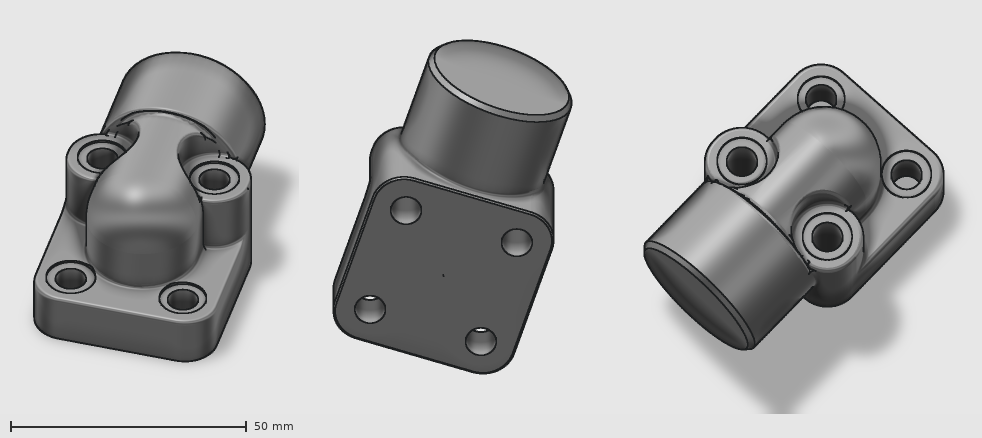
import cadquery as cq
import math

flange_side = 40.0
flange_half = flange_side / 2
flange_height = 11.5
corner_radius = 7.0
bottom_chamfer = 0.4
edge_round = 1.0

bolt_offset = 24.7 / 2
bolt_diameter = 6.5
seat_diameter = 10.5
small_seat_diameter = 10.0
seat_depth = 0.5
seat_clearance = 2.0

tower_height = 24.5
tower_radius = 7.69
tower_round = 0.9
pocket_rim_round = 0.9

elbow_radius = 12.0
elbow_axis_height = 21.0
tube_end = 23.0
tube_bottom = 9.0

collar_radius = 16.0
collar_axis_height = 18.0
collar_end = 40.0
collar_chamfer_length = 1.15
collar_chamfer_depth = 1.0
joint_radius = 1.0

part_height = collar_axis_height + collar_radius

sides = (-1, 1)

pick_margin = 0.1
diagonal = math.sqrt(0.5)


def rounded_square(bottom, top):
    block = cq.Workplane("XY", origin=(0, 0, bottom)).rect(flange_side, flange_side).extrude(top - bottom)
    return block.edges("|Z").fillet(corner_radius)


def make_flange():
    return rounded_square(0, flange_height).faces("<Z").edges().chamfer(bottom_chamfer)


def tower_column(side, bottom, top):
    """Upright column over one rear corner: round inside, trimmed to the flange corner outside."""
    corner_start = flange_half - corner_radius
    corner_mid = corner_start + corner_radius * diagonal
    inner_mid = bolt_offset - tower_radius * diagonal
    edge_gap = flange_half - bolt_offset
    arc_end = bolt_offset - math.sqrt(tower_radius**2 - edge_gap**2)
    return (
        cq.Workplane("XY", origin=(0, 0, bottom))
        .moveTo(side * flange_half, arc_end)
        .lineTo(side * flange_half, corner_start)
        .threePointArc((side * corner_mid, corner_mid), (side * corner_start, flange_half))
        .lineTo(side * arc_end, flange_half)
        .threePointArc((side * inner_mid, inner_mid), (side * flange_half, arc_end))
        .close()
        .extrude(top - bottom)
    )


def make_tower(side):
    """Column standing just above the bottom chamfer, with a rounded top edge."""
    return tower_column(side, bottom_chamfer, tower_height).faces(">Z").edges().fillet(tower_round)


def make_elbow():
    """Arched tube along Y whose front end turns down as a ball over an upright half-cylinder."""
    upright_height = elbow_axis_height - bottom_chamfer
    upright = cq.Workplane("XY", origin=(0, 0, bottom_chamfer)).circle(elbow_radius).extrude(upright_height)
    ball = cq.Workplane("XY").sphere(elbow_radius).translate((0, 0, elbow_axis_height))
    tube = (
        cq.Workplane("XZ")
        .moveTo(-elbow_radius, tube_bottom)
        .lineTo(-elbow_radius, elbow_axis_height)
        .threePointArc((0, elbow_axis_height + elbow_radius), (elbow_radius, elbow_axis_height))
        .lineTo(elbow_radius, tube_bottom)
        .close()
        .extrude(-tube_end)
    )
    return tube.union(upright).union(ball)


def cut_tower_pockets(elbow):
    """Clear the space above the towers and round the rims of the two pockets."""
    for side in sides:
        pocket = cq.Workplane("XY", origin=(side * bolt_offset, bolt_offset, tower_height))
        elbow = elbow.cut(pocket.circle(tower_radius).extrude(part_height - tower_height))
    rims = elbow.edges(cq.selectors.BoxSelector(
        (-elbow_radius, bolt_offset - pick_margin, tower_height),
        (elbow_radius, bolt_offset + pick_margin, part_height),
    )).edges("%BSPLINE")
    return rims.fillet(pocket_rim_round)


def make_pocket_floor_fillet(side):
    """Concave fillet between a tower top and the pocket wall, kept inside the elbow."""
    fillet_top = tower_height + tower_round
    floor = tower_column(side, tower_height - tower_round, fillet_top)
    hollow = tower_column(side, tower_height, part_height).faces("<Z").edges().fillet(tower_round)
    return floor.cut(hollow).intersect(make_elbow())


def make_base():
    """Flange, towers and elbow with their common top edges blended."""
    base = make_flange().union(cut_tower_pockets(make_elbow()))
    for side in sides:
        base = base.union(make_tower(side))
    level = cq.selectors.BoxSelector(
        (-flange_side, -flange_side, flange_height - pick_margin),
        (flange_side, bolt_offset, flange_height + pick_margin),
    )
    return base.edges(level).fillet(edge_round)


def make_outlet_collar():
    """Collar with a rounded front rim and a chamfered outlet rim, turned about its own axis."""
    front = flange_half
    return (
        cq.Workplane("XY")
        .moveTo(0, front)
        .lineTo(collar_radius - joint_radius, front)
        .radiusArc((collar_radius, front + joint_radius), -joint_radius)
        .lineTo(collar_radius, collar_end - collar_chamfer_length)
        .lineTo(collar_radius - collar_chamfer_depth, collar_end)
        .lineTo(0, collar_end)
        .close()
        .revolve(360, (0, 0, 0), (0, 1, 0))
        .translate((0, 0, collar_axis_height))
    )


def make_tube_flare():
    """Concave ring where the tube meets the collar, trimmed to fade into the rounded collar rim."""
    front = flange_half
    ring = (
        cq.Workplane("XY")
        .moveTo(0, front - joint_radius)
        .lineTo(elbow_radius, front - joint_radius)
        .radiusArc((elbow_radius + joint_radius, front), joint_radius)
        .lineTo(elbow_radius + joint_radius, front + joint_radius)
        .lineTo(0, front + joint_radius)
        .close()
        .revolve(360, (0, 0, 0), (0, 1, 0))
        .translate((0, 0, elbow_axis_height))
    )
    trim_radius = collar_radius - joint_radius / 2
    trim = cq.Workplane("XZ", origin=(0, 0, collar_axis_height)).circle(trim_radius).extrude(-collar_end)
    flare = ring.intersect(trim)
    for side in sides:
        flare = flare.cut(tower_column(side, tower_height, part_height))
    return flare


def make_rear_blend():
    """Rear of the flange and towers with a concave fillet against the collar."""
    collar = cq.Workplane("XZ", origin=(0, bolt_offset, collar_axis_height)).circle(collar_radius)
    joined = rounded_square(-flange_side, flange_side).union(collar.extrude(bolt_offset - collar_end))
    near_rear_face = cq.selectors.BoxSelector(
        (-collar_radius - pick_margin, bolt_offset, 0),
        (collar_radius + pick_margin, flange_half + pick_margin, part_height + pick_margin),
    )
    blended = joined.edges(near_rear_face).edges("not |Y").edges("not |Z").fillet(joint_radius)
    zone_start = flange_half - corner_radius
    zone_height = tower_height - tower_round - bottom_chamfer
    zone = cq.Workplane("XY", origin=(0, zone_start, bottom_chamfer)).box(
        flange_side, flange_half + joint_radius - zone_start, zone_height, centered=(True, False, False)
    )
    return blended.intersect(zone)


def make_tower_to_collar_fillet(side):
    """Short concave fillet from a tower top up to the front face of the collar."""
    low = tower_height - tower_round
    high = tower_height + tower_round
    start = flange_half - tower_round
    rise = tower_height - collar_axis_height
    inner_x = elbow_radius - joint_radius
    outer_x = math.sqrt((collar_radius - joint_radius) ** 2 - rise**2)
    fillet = (
        cq.Workplane("YZ", origin=(side * inner_x, 0, 0))
        .moveTo(start, low)
        .lineTo(start, tower_height)
        .radiusArc((flange_half, high), -tower_round)
        .lineTo(flange_half + joint_radius, high)
        .lineTo(flange_half + joint_radius, low)
        .close()
        .extrude(side * (outer_x - inner_x))
    )
    trim = cq.Workplane("XZ", origin=(0, 0, collar_axis_height)).circle(collar_radius - joint_radius)
    return fillet.intersect(trim.extrude(-collar_end))


def cut_bolt_holes(body):
    """Through holes with shallow seats; the front right seat is slightly smaller."""
    for side in sides:
        for end in sides:
            seat_plane = (tower_height if end > 0 else flange_height) - seat_depth
            is_small = side > 0 and end < 0
            seat = small_seat_diameter if is_small else seat_diameter
            at = cq.Workplane("XY").center(side * bolt_offset, end * bolt_offset)
            body = body.cut(at.circle(bolt_diameter / 2).extrude(tower_height))
            seat_cutter = at.workplane(offset=seat_plane).circle(seat / 2).extrude(seat_clearance)
            body = body.cut(seat_cutter)
    return body


body = make_base()
for side in sides:
    body = body.union(make_pocket_floor_fillet(side))
body = body.union(make_rear_blend()).union(make_tube_flare()).union(make_outlet_collar())
for side in sides:
    body = body.union(make_tower_to_collar_fillet(side))
result = cut_bolt_holes(body)